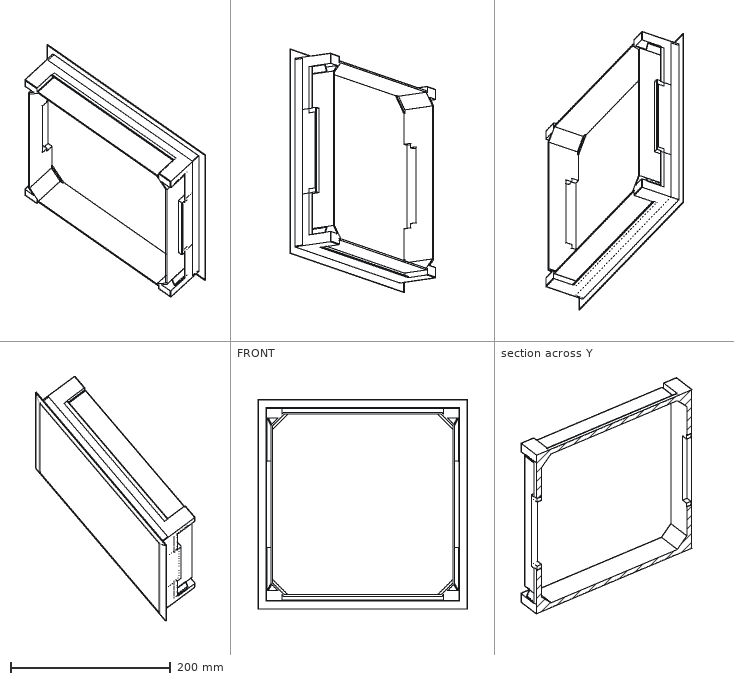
import cadquery as cq
import math


flange_half = 131.5
depth = 57.0
front_y = -depth / 2
back_y = depth / 2

flange_thickness = 3.2
rim_edge = 1.0
crown_width = 9.0
crown_bulge = 0.8
flange_y = back_y - flange_thickness

sleeve_half = 121.5
sleeve_wall = 1.3
cavity_half = sleeve_half - sleeve_wall
sleeve_rim_y = -0.5
edge_chamfer = 0.8

groove_floor_y = 4.7

tray_half = 113.4
tray_corner = 14.7
tray_wall = 2.0
lip_corner = 19.2
lip_thickness = 1.5
tray_outer_half = tray_half + tray_wall
tray_outer_corner = tray_corner + tray_wall * (2 - math.sqrt(2))

block_x = 101.5
block_z = 108.4

gusset_z = tray_outer_half - tray_outer_corner
gusset_y = -18.5
gusset_width = 1.5

latch_half = 54.5
latch_y = -6.5
slot_half = 49.0
slot_y = -3.7

panel_y = 14.5


def block(x_range, y_range, z_range):
    """Box between two limits on each axis."""
    (x0, x1), (y0, y1), (z0, z1) = x_range, y_range, z_range
    return cq.Workplane("XY").box(x1 - x0, y1 - y0, z1 - z0, centered=False).translate((x0, y0, z0))


def square(half, y0, y1):
    """Square prism along Y."""
    return block((-half, half), (y0, y1), (-half, half))


def prism(points, y0, y1):
    """Prism along Y over an outline of (x, z) points."""
    outline = cq.Workplane("XZ", origin=(0, y0, 0)).polyline(points).close()
    return outline.extrude(-(y1 - y0))


def octagon(half, corner, y0, y1):
    """Square prism along Y with its four long edges cut off."""
    return square(half, y0, y1).edges("|Y").chamfer(corner)


def mirrored(shape):
    """The shape in all four corners."""
    pair = shape.union(shape.mirror("YZ"))
    return pair.union(pair.mirror("XY"))


def make_flange():
    """Square plate whose back face curves down to a thin edge."""
    edge_y = flange_y + rim_edge
    flat_half = flange_half - crown_width
    middle = flange_half - crown_width / 4
    middle_y = edge_y + crown_bulge
    slab = (
        cq.Workplane("XY", origin=(0, 0, -flange_half))
        .moveTo(-flange_half, flange_y)
        .lineTo(flange_half, flange_y)
        .lineTo(flange_half, edge_y)
        .threePointArc((middle, middle_y), (flat_half, back_y))
        .lineTo(-flat_half, back_y)
        .threePointArc((-middle, middle_y), (-flange_half, edge_y))
        .close()
        .extrude(2 * flange_half)
    )
    return slab.intersect(slab.rotate((0, 0, 0), (0, 1, 0), 90))


def make_sleeve():
    """Sleeve with a groove cavity, cut back between the corners."""
    sleeve = square(sleeve_half, front_y, flange_y)
    sleeve = sleeve.faces("<Y").chamfer(edge_chamfer)
    sleeve = sleeve.cut(square(cavity_half, front_y, groove_floor_y))

    across = (-flange_half, flange_half)
    window_y = (front_y, sleeve_rim_y)
    sleeve = sleeve.cut(block((-block_x, block_x), window_y, across))
    side_window = block(across, window_y, (-block_z, block_z))
    latch_wall = block(across, (latch_y, sleeve_rim_y), (-latch_half, latch_half))
    sleeve = sleeve.cut(side_window.cut(latch_wall))

    for side in (-1, 1):
        rim_edge_middle = (0, sleeve_rim_y, side * sleeve_half)
        latch_edge_middle = (side * sleeve_half, latch_y, 0)
        for middle in (rim_edge_middle, latch_edge_middle):
            outer_edge = cq.selectors.NearestToPointSelector(middle)
            sleeve = sleeve.edges(outer_edge).chamfer(edge_chamfer)
    return sleeve


def make_corner_blocks():
    """Corner blocks, each with a sloped gusset that encloses a small hollow beside the tray."""
    corner = block((block_x, cavity_half), (front_y, groove_floor_y), (block_z, cavity_half))
    gusset = prism(
        [
            (cavity_half - gusset_width, block_z),
            (cavity_half, block_z),
            (tray_outer_half, gusset_z),
            (tray_outer_half - gusset_width, gusset_z),
        ],
        gusset_y, groove_floor_y,
    )
    return mirrored(corner.union(gusset))


def make_latch_pocket(side):
    """Stepped pocket behind the tray wall: narrow in front, wide next to the panel."""
    x_range = sorted((0, side * cavity_half))
    narrow = block(x_range, (slot_y, groove_floor_y), (-slot_half, slot_half))
    wide = block(x_range, (groove_floor_y, panel_y), (-latch_half, latch_half))
    return narrow.union(wide)


def make_housing():
    """Flange, sleeve, tray wall, corner blocks and latch housings in one piece."""
    tray = octagon(tray_outer_half, tray_outer_corner, front_y, groove_floor_y)
    latches = block((-cavity_half, cavity_half), (latch_y, groove_floor_y), (-latch_half, latch_half))

    housing = make_flange().union(make_sleeve()).union(tray)
    housing = housing.union(make_corner_blocks()).union(latches)

    lip_y = panel_y - lip_thickness
    housing = housing.cut(octagon(tray_half, tray_corner, front_y, lip_y))
    housing = housing.cut(octagon(tray_half, lip_corner, lip_y, panel_y))
    for side in (-1, 1):
        housing = housing.cut(make_latch_pocket(side))
    return housing.cut(make_panel())


def make_panel():
    """Square panel flush with the back of the flange."""
    return square(cavity_half, panel_y, back_y)


housing = make_housing()
panel = make_panel()

result = cq.Compound.makeCompound([housing.val(), panel.val()])